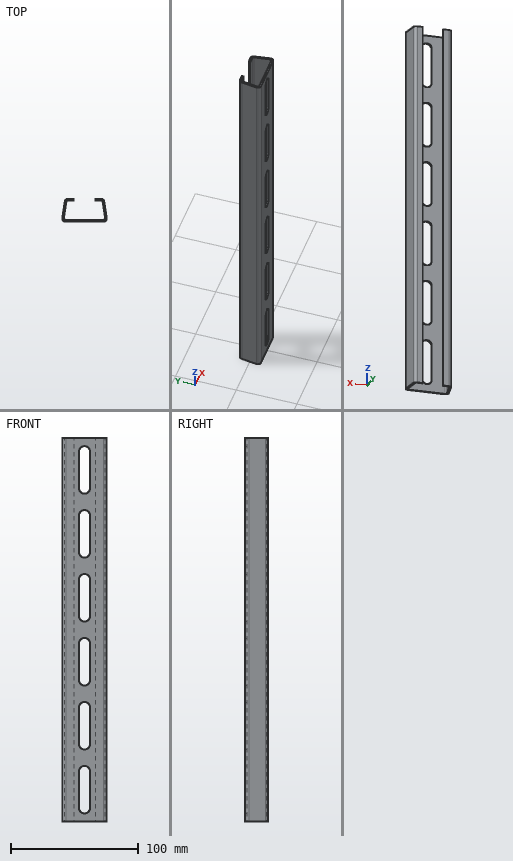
import cadquery as cq
import math

length = 300.0
base_width = 35.0
depth = 18.0
thickness = 1.5
bend_radius = 2.7
wall_lean = math.radians(8.5)
mouth_width = 17.0

slot_width = 8.5
slot_length = 37.0
slot_pitch = 50.0
slot_count = 6
upright = 90.0

base_bend_x = base_width / 2 - bend_radius
base_bend_y = bend_radius
lip_bend_y = depth - bend_radius
lip_bend_x = base_bend_x - (lip_bend_y - base_bend_y) * math.tan(wall_lean)


def on_bend(center_x, center_y, radius, angle):
    return (center_x + radius * math.cos(angle), center_y + radius * math.sin(angle))


def half_skin(radius):
    """Filled right half of the section bounded by one skin of the sheet."""
    base_start = -math.pi / 2
    lip_end = math.pi / 2

    def base_bend(angle):
        return on_bend(base_bend_x, base_bend_y, radius, angle)

    def lip_bend(angle):
        return on_bend(lip_bend_x, lip_bend_y, radius, angle)

    return (
        cq.Workplane("XY")
        .moveTo(0, base_bend_y - radius)
        .lineTo(*base_bend(base_start))
        .threePointArc(base_bend((base_start + wall_lean) / 2), base_bend(wall_lean))
        .lineTo(*lip_bend(wall_lean))
        .threePointArc(lip_bend((wall_lean + lip_end) / 2), lip_bend(lip_end))
        .lineTo(0, lip_bend_y + radius)
        .close()
        .extrude(length)
    )


def make_rail():
    """Hollow C-section with the mouth open toward +Y."""
    half = half_skin(bend_radius).cut(half_skin(bend_radius - thickness))
    rail = half.union(half.mirror("YZ"))
    mouth = (
        cq.Workplane("XY")
        .center(0, depth)
        .rect(mouth_width, depth)
        .extrude(length)
    )
    return rail.cut(mouth)


def make_slots():
    """Row of lengthwise slots through the base, centred on the rail."""
    first_slot_z = (length - (slot_count - 1) * slot_pitch) / 2
    centers = [(0, first_slot_z + index * slot_pitch) for index in range(slot_count)]
    return (
        cq.Workplane("XZ")
        .pushPoints(centers)
        .slot2D(slot_length, slot_width, upright)
        .extrude(-2 * thickness)
    )


result = make_rail().cut(make_slots())